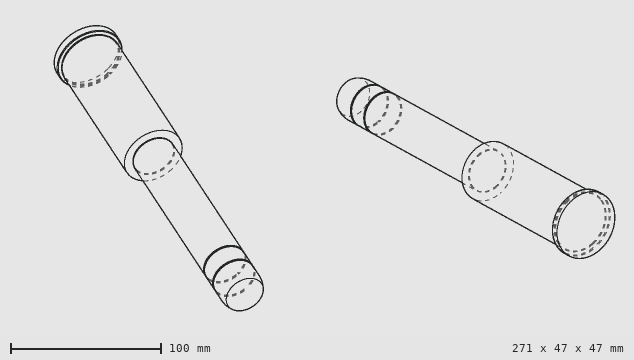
import cadquery as cq

length = 271.0
flange_diameter = 47.0
flange_width = 6.0
flange_chamfer = 0.5
body_diameter = 42.0
body_end = 114.4
shaft_diameter = 30.0

relief_width = 1.0
relief_depth = 0.5

shaft_relief_width = 0.8
shaft_relief_depth = 0.3

lead_in_length = 5.0
lead_in_drop = 0.14

groove_starts = (236.0, 251.5)
groove_width = 1.0
groove_depth = 0.3

nose_length = 7.0
nose_drop = 1.5

start_x = -length / 2


def cylinder(start, width, diameter):
    """Solid cylinder, its start measured along X from the flange face."""
    plane = cq.Workplane("YZ").workplane(offset=start_x + start)
    return plane.circle(diameter / 2).extrude(width)


def ring_groove(start, width, outer_diameter, depth):
    """Ring-shaped cutter for a groove of the given depth."""
    outer = cylinder(start, width, outer_diameter)
    return outer.cut(cylinder(start, width, outer_diameter - 2 * depth))


def make_body():
    """Cylindrical body with a gently tapered lead-in."""
    radius = body_diameter / 2
    shoulder_x = start_x + body_end
    return (
        cq.Workplane("XY")
        .moveTo(start_x, 0)
        .lineTo(start_x, radius)
        .lineTo(shoulder_x - lead_in_length, radius)
        .lineTo(shoulder_x, radius - lead_in_drop)
        .lineTo(shoulder_x, 0)
        .close()
        .revolve(360, (0, 0, 0), (1, 0, 0))
    )


def make_shaft():
    """Shaft from the body shoulder to the rounded nose."""
    radius = shaft_diameter / 2
    shoulder_x = start_x + body_end
    tip_x = start_x + length
    nose_x = tip_x - nose_length
    return (
        cq.Workplane("XY")
        .moveTo(shoulder_x, 0)
        .lineTo(shoulder_x, radius)
        .lineTo(nose_x, radius)
        .tangentArcPoint((tip_x, radius - nose_drop), relative=False)
        .lineTo(tip_x, 0)
        .close()
        .revolve(360, (0, 0, 0), (1, 0, 0))
    )


flange = cylinder(0, flange_width, flange_diameter).faces(">X").chamfer(flange_chamfer)
result = flange.union(make_body()).union(make_shaft())
result = result.cut(ring_groove(flange_width, relief_width, body_diameter, relief_depth))
result = result.cut(ring_groove(body_end, shaft_relief_width, shaft_diameter, shaft_relief_depth))
for groove_start in groove_starts:
    result = result.cut(ring_groove(groove_start, groove_width, shaft_diameter, groove_depth))